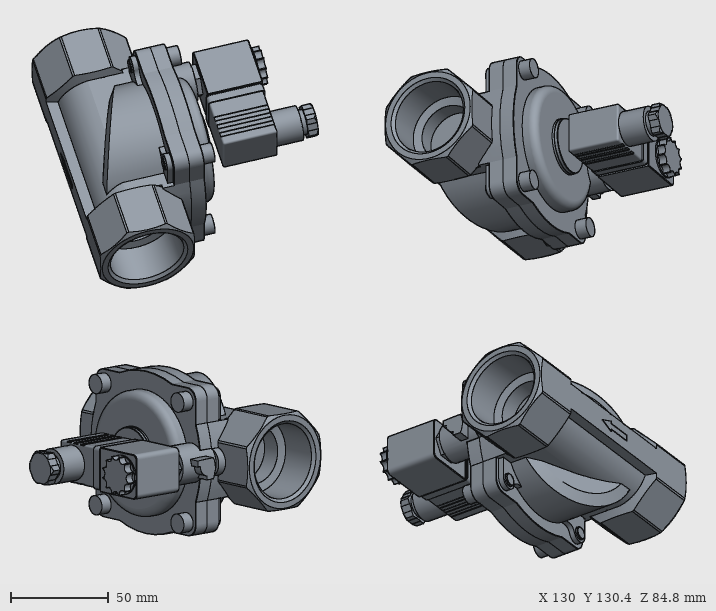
import cadquery as cq
import math


body_length = 130.0
body_half_length = body_length / 2
octagon_flats = 49.8
octagon_corner_radius = 26.7
octagon_face_radius = 24.2
octagon_end_cone = 1.5
octagon_inner_x = 38.2
shoulder_x = 36.4
octagon_half = octagon_flats / 2
pipe_radius = 20.5
pipe_half_width = 20.2
strip_half_width = 7.4
thread_diameter = 39.0
thread_mouth_radius = 21.1
thread_mouth_chamfer = 1.5
thread_depth = 21.5
port_diameter = 30.0
port_rim_depth = 22.5
port_depth = 32.6

flange_bottom_y = 21.4
joint_y = 29.6
flange_top_y = 37.4
flange_half_side = 38.6
flange_bulge = 42.4
flange_bulge_half = 20.2
flange_corner_radius = 6.4
flange_edge_chamfer = 0.3
neck_bottom_y = 15.4
bolt_pitch = 63.1
bolt_diameter = 6.9
bolt_hole_diameter = 7.0
bolt_tip_diameter = 6.0
bolt_tip_height = 1.2
bolt_head_diameter = 10.0
bolt_head_top_y = 43.7

pad_bottom_y = 18.5
pad_boss_radius = 4.8
pad_blend_radius = 4.8
pad_side_z = 29.7

bowl_radius = 35.8
bowl_floor_radius = 29.6
bowl_floor_y = -3.6
bowl_floor_slope = 20.0
bowl_floor_x = -0.5
bowl_rim_y = -1.3
bowl_rim_slope = 19.4

arrow_height = 0.3
arrow_tip_x = -10.4
arrow_neck_x = -2.5
arrow_tail_x = 11.3
arrow_head_half = 3.1
arrow_shaft_half = 1.7

dome_radius = 32.6
dome_top_y = 45.4
dome_fillet = 4.3
disc_base_radius = 14.6
disc_base_height = 1.2
disc_radius = 14.3
disc_top_y = 48.4
disc_chamfer = 0.3

pilot_x = -35.2
pilot_diameter = 20.5
pilot_top_y = 52.0
pilot_boss_half_width = 7.4
pilot_boss_embed = 1.3
body_boss_x = -40.0
lever_left_x = -50.2
lever_right_x = -40.4
lever_top_y = 46.3
lever_notch_y = 44.5
lever_web_y = 40.0
lever_bottom_y = 34.3
lever_shoulder_y = 35.6
lever_front_z = 4.3
lever_crest_z = 4.5
lever_notch_z = 1.0
lever_web_z = -4.3
lever_back_z = -6.4
lever_notch_radius = 5.2

hexagon_sides = 6
nut_flats = 15.9
coil_left_x = -45.9
coil_right_x = -17.7
coil_bottom_y = 54.9
coil_top_y = 84.2
coil_half_width = 11.6
coil_corner_radius = 2.6
coil_edge_chamfer = 0.4
cap_base_diameter = 20.5
cap_base_top_y = 85.0
cap_diameter = 20.2
cap_top_y = 89.0
cap_scallops = 12
cap_scallop_diameter = 5.0
cap_scallop_centre = 10.7

plate_left_x = -17.0
plate_right_x = -12.5
plate_bottom_y = 54.0
plate_top_y = 84.0
plate_half_width = 11.2
plate_edge_radius = 2.0
plate_neck_half_width = 10.5
plug_right_x = 14.1
plug_bottom_y = 54.4
plug_top_y = 83.0
plug_half_width = 10.5
plug_edge_radius = 1.0
groove_first_x = -3.6
groove_pitch = 5.1
groove_width = 2.5
groove_count = 3
groove_depth = 0.5
gland_x = 4.5
gland_diameter = 18.2
gland_top_y = 97.1
gland_neck_diameter = 13.2
gland_nut_bottom_y = 99.8
gland_nut_top_y = 105.2
gland_nut_flats = 16.2
gland_nut_chamfer = 1.2
gland_flat_groove_width = 3.6
gland_flat_groove_depth = 0.3


def plane_at(y, x=0):
    """Sketch plane facing +Y at height y: local x is X, local y is -Z."""
    return cq.Workplane(cq.Plane(origin=(x, y, 0), xDir=(1, 0, 0), normal=(0, 1, 0)))


def cylinder(x, y_low, y_high, diameter):
    return plane_at(y_low, x).circle(diameter / 2).extrude(y_high - y_low)


def box(x_low, x_high, y_low, y_high, half_width):
    size = (x_high - x_low, y_high - y_low, 2 * half_width)
    centre = ((x_low + x_high) / 2, (y_low + y_high) / 2, 0)
    return cq.Workplane("XY").box(*size).translate(centre)


def hexagon(x, y_low, y_high, flats):
    """Hexagonal prism along Y with two corners on the X direction."""
    return plane_at(y_low, x).polygon(hexagon_sides, flats / math.cos(math.pi / 6)).extrude(y_high - y_low)


def revolved_about_x(points):
    """Solid of revolution about the bore axis from (x, radius) points."""
    return cq.Workplane("XY").polyline(points).close().revolve(360, (0, 0, 0), (1, 0, 0))


def flange_slab(y_low, y_high):
    """Square flange with rounded corners and an outward arc on every side."""
    side = flange_half_side
    half = flange_bulge_half
    bulge = flange_bulge
    square = plane_at(y_low).rect(2 * side, 2 * side).extrude(y_high - y_low)
    square = square.edges("|Y").fillet(flange_corner_radius)
    bulges = (
        plane_at(y_low)
        .moveTo(half, side)
        .threePointArc((0, bulge), (-half, side))
        .lineTo(-side, half)
        .threePointArc((-bulge, 0), (-side, -half))
        .lineTo(-half, -side)
        .threePointArc((0, -bulge), (half, -side))
        .lineTo(side, -half)
        .threePointArc((bulge, 0), (side, half))
        .close()
        .extrude(y_high - y_low)
    )
    return square.union(bulges)


def bolt_points():
    half = bolt_pitch / 2
    return [(x, z) for x in (-half, half) for z in (-half, half)]



def octagon_end():
    """Octagonal pipe end on the +X side, its corners turned off by cones at both ends."""
    prism = (
        cq.Workplane("YZ")
        .workplane(offset=shoulder_x)
        .polygon(8, octagon_flats / math.cos(math.pi / 8))
        .extrude(body_half_length - shoulder_x)
        .rotate((0, 0, 0), (1, 0, 0), 22.5)
    )
    turned = revolved_about_x([
        (shoulder_x, 0),
        (shoulder_x, pipe_radius),
        (octagon_inner_x, octagon_corner_radius),
        (body_half_length - octagon_end_cone, octagon_corner_radius),
        (body_half_length, octagon_face_radius),
        (body_half_length, 0),
    ])
    return prism.intersect(turned)


def threaded_port():
    """Cutter for the +X port: mouth chamfer, thread bore, shallow cone and blind port."""
    bore = thread_diameter / 2
    port = port_diameter / 2
    return revolved_about_x([
        (body_half_length, 0),
        (body_half_length, thread_mouth_radius),
        (body_half_length - thread_mouth_chamfer, bore),
        (body_half_length - thread_depth, bore),
        (body_half_length - port_rim_depth, port),
        (body_half_length - port_depth, port),
        (body_half_length - port_depth, 0),
    ])


def both_ends(part):
    return part.union(part.mirror("YZ"))


def centre_pipe():
    """Round pipe with flat sides that rise to the flange, and a flat strip underneath."""
    pipe = cq.Workplane("YZ").circle(pipe_radius).extrude(shoulder_x, both=True)
    pipe = pipe.intersect(box(-shoulder_x, shoulder_x, -pipe_radius, pipe_radius, pipe_half_width))
    walls = box(-shoulder_x, shoulder_x, 0, joint_y, pipe_half_width)
    strip = box(-octagon_inner_x, octagon_inner_x, -octagon_half, 0, strip_half_width)
    return pipe.union(walls).union(strip)


def neck():
    """Bulged flange ends carried down onto the octagons."""
    width = box(-flange_bulge, flange_bulge, neck_bottom_y, joint_y, pipe_half_width)
    return flange_slab(neck_bottom_y, joint_y).intersect(width)


def tilted_ring(x, y, radius, slope):
    """Ellipse on a plane that falls toward +X; it looks round, of the given radius, along Y."""
    angle = math.radians(slope)
    centre = cq.Vector(x, y, 0)
    downhill = cq.Vector(math.cos(angle), -math.sin(angle), 0)
    normal = cq.Vector(math.sin(angle), math.cos(angle), 0)
    return cq.Wire.makeEllipse(radius / math.cos(angle), radius, centre, normal, downhill)


def bowl():
    """Round bowl cut off by a tilted plane, with a bevel from its rim to a smaller tilted floor."""
    drop = bowl_radius * math.tan(math.radians(bowl_rim_slope))
    above_rim = (
        cq.Workplane("XY")
        .polyline([
            (-bowl_radius, bowl_rim_y + drop),
            (bowl_radius, bowl_rim_y - drop),
            (bowl_radius, joint_y),
            (-bowl_radius, joint_y),
        ])
        .close()
        .extrude(bowl_radius, both=True)
    )
    wall = cylinder(0, bowl_rim_y - drop, joint_y, 2 * bowl_radius).intersect(above_rim)
    floor_y = bowl_floor_y - bowl_floor_x * math.tan(math.radians(bowl_floor_slope))
    floor_ring = tilted_ring(bowl_floor_x, floor_y, bowl_floor_radius, bowl_floor_slope)
    rim_ring = tilted_ring(0, bowl_rim_y, bowl_radius, bowl_rim_slope)
    bevel = cq.Solid.makeLoft([floor_ring, rim_ring], True)
    return wall.union(cq.Workplane(bevel))


def corner_pads():
    """Pad under the flange with a round boss at every bolt and a concave blend between them."""
    half = bolt_pitch / 2
    edge = half + pad_boss_radius
    reach = pad_boss_radius + pad_blend_radius
    blend_z = pad_side_z + pad_blend_radius
    blend_x = half - math.sqrt(reach ** 2 - (blend_z - half) ** 2)
    tangent_z = (half + blend_z) / 2
    height = joint_y - pad_bottom_y
    bosses = plane_at(pad_bottom_y).pushPoints(bolt_points()).circle(pad_boss_radius).extrude(height)
    pads = box(-edge, edge, pad_bottom_y, joint_y, half)
    pads = pads.union(box(-half, half, pad_bottom_y, joint_y, tangent_z)).union(bosses)
    recesses = (
        plane_at(pad_bottom_y).pushPoints([(0, -blend_z), (0, blend_z)])
        .slot2D(2 * (blend_x + pad_blend_radius), 2 * pad_blend_radius).extrude(height)
    )
    return pads.cut(recesses)


def flow_arrow():
    return (
        cq.Workplane("XZ")
        .workplane(offset=octagon_half)
        .polyline([
            (arrow_tip_x, 0),
            (arrow_neck_x, arrow_head_half),
            (arrow_neck_x, arrow_shaft_half),
            (arrow_tail_x, arrow_shaft_half),
            (arrow_tail_x, -arrow_shaft_half),
            (arrow_neck_x, -arrow_shaft_half),
            (arrow_neck_x, -arrow_head_half),
        ])
        .close()
        .extrude(arrow_height)
    )


def body_pilot_boss():
    """Boss beside the flange that carries the pilot channel, with a rounded outer end."""
    y_low = octagon_half - pilot_boss_embed
    rounded = cylinder(body_boss_x, y_low, joint_y, 2 * pilot_boss_half_width)
    return rounded.union(box(body_boss_x, pilot_x, y_low, joint_y, pilot_boss_half_width))


def make_body():
    flange = flange_slab(flange_bottom_y, joint_y)
    flange = flange.faces("<Y").edges().chamfer(flange_edge_chamfer)
    body = both_ends(octagon_end())
    for feature in (
        centre_pipe(),
        neck(),
        flange,
        corner_pads(),
        bowl(),
        flow_arrow(),
        body_pilot_boss(),
    ):
        body = body.union(feature)
    port = threaded_port()
    body = body.cut(port).cut(port.mirror("YZ"))
    holes = (
        plane_at(pad_bottom_y).pushPoints(bolt_points())
        .circle(bolt_hole_diameter / 2).extrude(joint_y - pad_bottom_y)
    )
    return body.cut(holes)



def cover_bolts():
    """Head above the flange and a shank that passes through the body, chamfered at the tip."""
    tip_y = pad_bottom_y - bolt_tip_height
    head = (
        plane_at(flange_top_y).pushPoints(bolt_points())
        .circle(bolt_head_diameter / 2).extrude(bolt_head_top_y - flange_top_y)
    )
    shank = (
        plane_at(tip_y).pushPoints(bolt_points())
        .circle(bolt_diameter / 2).extrude(flange_top_y - tip_y)
        .faces("<Y").chamfer((bolt_diameter - bolt_tip_diameter) / 2)
    )
    return head.union(shank)


def cover_pilot_boss():
    """Continuation of the pilot column down to the joint, narrowed by flat sides."""
    column = cylinder(pilot_x, joint_y, flange_top_y, pilot_diameter)
    left_x = pilot_x - pilot_diameter / 2
    return column.intersect(box(left_x, pilot_x, joint_y, flange_top_y, pilot_boss_half_width))


def pilot_lever():
    """Manual override lever on the side of the pilot column, a flat profile in Y and Z."""
    lever_middle_z = (lever_crest_z + lever_back_z) / 2
    return (
        cq.Workplane("YZ")
        .workplane(offset=lever_left_x)
        .moveTo(lever_top_y, lever_front_z)
        .lineTo(lever_top_y, lever_notch_z)
        .lineTo(lever_notch_y, lever_notch_z)
        .radiusArc((lever_web_y, lever_web_z), lever_notch_radius)
        .lineTo(lever_web_y, lever_back_z)
        .lineTo(lever_shoulder_y, lever_back_z)
        .threePointArc((lever_bottom_y, lever_middle_z), (lever_shoulder_y, lever_crest_z))
        .lineTo(lever_web_y, lever_crest_z)
        .close()
        .extrude(lever_right_x - lever_left_x)
    )


def make_cover():
    flange = flange_slab(joint_y, flange_top_y)
    flange = flange.faces(">Y").edges().chamfer(flange_edge_chamfer)
    dome = cylinder(0, joint_y, dome_top_y, 2 * dome_radius).faces(">Y").edges().fillet(dome_fillet)
    disc_base = cylinder(0, dome_top_y, dome_top_y + disc_base_height, 2 * disc_base_radius)
    disc = cylinder(0, dome_top_y, disc_top_y, 2 * disc_radius).faces(">Y").chamfer(disc_chamfer)
    cover = flange
    for feature in (
        dome,
        disc_base,
        disc,
        cover_bolts(),
        cylinder(pilot_x, flange_top_y, pilot_top_y, pilot_diameter),
        cover_pilot_boss(),
        pilot_lever(),
    ):
        cover = cover.union(feature)
    return cover



def coil_cap():
    """Retaining cap with finger scallops around a thin base ring."""
    base = cylinder(pilot_x, coil_top_y, cap_base_top_y, cap_base_diameter)
    grip = cylinder(pilot_x, cap_base_top_y, cap_top_y, cap_diameter)
    scallops = (
        plane_at(cap_base_top_y, pilot_x)
        .polarArray(cap_scallop_centre, 0, 360, cap_scallops)
        .circle(cap_scallop_diameter / 2)
        .extrude(cap_top_y - cap_base_top_y)
    )
    return base.union(grip.cut(scallops))


def coil():
    block = box(coil_left_x, coil_right_x, coil_bottom_y, coil_top_y, coil_half_width)
    block = block.edges("|Y and <X").fillet(coil_corner_radius)
    block = block.faces("<Y or >Y").edges().chamfer(coil_edge_chamfer)
    nut = hexagon(pilot_x, pilot_top_y, coil_bottom_y, nut_flats)
    return block.union(nut).union(coil_cap())


def connector_plug():
    """Plug housing on its gasket plate, with finger grooves across both broad faces."""
    neck_piece = box(coil_right_x, plate_left_x, plug_bottom_y, plug_top_y, plate_neck_half_width)
    plate = box(plate_left_x, plate_right_x, plate_bottom_y, plate_top_y, plate_half_width)
    plate = plate.edges("|X").fillet(plate_edge_radius)
    plug = box(plate_right_x, plug_right_x, plug_bottom_y, plug_top_y, plug_half_width)
    plug = plug.edges("|X or >X").fillet(plug_edge_radius)
    core_half = plug_half_width - groove_depth
    for index in range(groove_count):
        left = groove_first_x + index * groove_pitch
        right = left + groove_width
        band = box(left, right, plug_bottom_y, plug_top_y, plug_half_width)
        core = box(left, right, plug_bottom_y, plug_top_y, core_half)
        plug = plug.cut(band.cut(core))
    return neck_piece.union(plate).union(plug)


def cable_gland():
    """Gland sleeve, neck and hexagonal nut with a shallow groove along each flat."""
    sleeve = cylinder(gland_x, plug_top_y - plug_edge_radius, gland_top_y, gland_diameter)
    throat = cylinder(gland_x, gland_top_y, gland_nut_bottom_y, gland_neck_diameter)
    nut = hexagon(gland_x, gland_nut_bottom_y, gland_nut_top_y, gland_nut_flats)
    corner_diameter = gland_nut_flats / math.cos(math.pi / 6)
    turned = cylinder(gland_x, gland_nut_bottom_y, gland_nut_top_y, corner_diameter)
    nut = nut.intersect(turned.faces(">Y").chamfer(gland_nut_chamfer))
    grooves = (
        plane_at(gland_nut_bottom_y, gland_x)
        .polarArray(gland_nut_flats / 2, 30, 360, hexagon_sides)
        .rect(2 * gland_flat_groove_depth, gland_flat_groove_width)
        .extrude(gland_nut_top_y - gland_nut_bottom_y)
    )
    return sleeve.union(throat).union(nut.cut(grooves))


def make_solenoid():
    return coil().union(connector_plug()).union(cable_gland())


body = make_body()
cover = make_cover()
solenoid = make_solenoid()

result = cq.Compound.makeCompound([body.solids().val(), cover.solids().val(), solenoid.solids().val()])